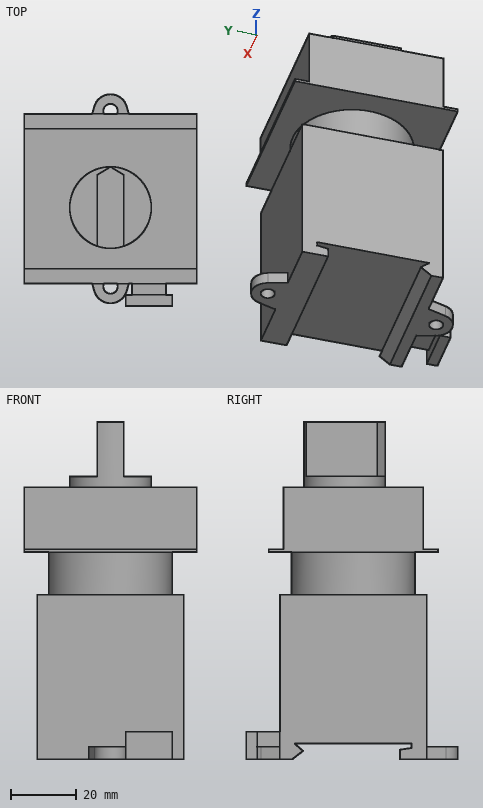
import cadquery as cq
import math


total_height = 103.5
housing_top = 50.5
collar_top = 63.5
bezel_top = 83.5
knob_disc_top = 86.8

housing_side = 45.0
collar_diameter = 38.0

channel_depth = 4.9
fixed_wall_y = 17.8
fixed_hook_tip_y = 14.3
fixed_hook_root_z = 3.5
fixed_hook_tip_z = 3.0
latch_wall_y = -18.0
latch_tip_y = -15.4
latch_tip_z = 2.6
latch_base_y = -18.7

tab_thickness = 3.9
tab_reach = 32.1
tab_radius = 5.2
tab_base_half_width = 6.7
tab_hole_diameter = 4.3

bezel_width = 53.0
bezel_depth = 43.0
flange_depth = 52.1
flange_thickness = 0.9

knob_offset_y = -2.7
knob_diameter = 25.0
grip_width = 8.2
grip_point_length = 2.5

slider_center_x = 11.8
slider_top = 8.5
stem_width = 10.5
pull_width = 14.4
pull_inner_y = -29.5
pull_outer_y = -32.9


def block(x_size, y_size, z_bottom, z_top, x_center=0.0, y_center=0.0):
    """Box centred at a point in plan, between two heights."""
    base = cq.Workplane("XY").workplane(offset=z_bottom).center(x_center, y_center)
    return base.rect(x_size, y_size).extrude(z_top - z_bottom)


def make_tab():
    """Tapered tab on the +Y face, with sides tangent to its round end."""
    root_y = housing_side / 2
    center_y = tab_reach - tab_radius
    root_drop = center_y - root_y
    root_angle = -math.atan2(root_drop, tab_base_half_width)
    root_distance = math.hypot(root_drop, tab_base_half_width)
    tangent_angle = root_angle + math.acos(tab_radius / root_distance)
    tangent_x = tab_radius * math.cos(tangent_angle)
    tangent_y = center_y + tab_radius * math.sin(tangent_angle)
    tab = (
        cq.Workplane("XY")
        .moveTo(-tab_base_half_width, root_y)
        .lineTo(tab_base_half_width, root_y)
        .lineTo(tangent_x, tangent_y)
        .threePointArc((0, tab_reach), (-tangent_x, tangent_y))
        .close()
        .extrude(tab_thickness)
    )
    hole = cq.Workplane("XY").center(0, center_y).circle(tab_hole_diameter / 2).extrude(tab_thickness)
    return tab.cut(hole)


def make_rail_channel():
    """Channel along X with a fixed hook on +Y and a pointed latch on -Y."""
    profile = [
        (fixed_hook_tip_y, 0),
        (fixed_hook_tip_y, fixed_hook_tip_z),
        (fixed_wall_y, fixed_hook_root_z),
        (fixed_wall_y, channel_depth),
        (latch_wall_y, channel_depth),
        (latch_tip_y, latch_tip_z),
        (latch_base_y, 0),
    ]
    return cq.Workplane("YZ").polyline(profile).close().extrude(housing_side / 2, both=True)


def make_housing():
    housing = block(housing_side, housing_side, 0, housing_top).cut(make_rail_channel())
    tab = make_tab()
    for angle in (0, 180):
        housing = housing.union(tab.rotate((0, 0, 0), (0, 0, 1), angle))
    return housing


def make_collar():
    base = cq.Workplane("XY").workplane(offset=housing_top)
    return base.circle(collar_diameter / 2).extrude(collar_top - housing_top)


def make_bezel():
    cover = block(bezel_width, bezel_depth, collar_top, bezel_top)
    flange = block(bezel_width, flange_depth, collar_top, collar_top + flange_thickness)
    return cover.union(flange)


def make_knob():
    """Disc with a grip that points to +Y and ends flush with the disc rim at -Y.

    The cylinder is cut away around the grip, so the rim runs unbroken up the grip's round end.
    """
    radius = knob_diameter / 2
    half_width = grip_width / 2
    shoulder_y = radius - grip_point_length
    base = cq.Workplane("XY").workplane(offset=bezel_top).center(0, knob_offset_y)
    cylinder = base.circle(radius).extrude(total_height - bezel_top)
    grip_outline = [
        (half_width, -knob_diameter),
        (half_width, shoulder_y),
        (0, radius),
        (-half_width, shoulder_y),
        (-half_width, -knob_diameter),
    ]
    grip_level = cq.Workplane("XY").workplane(offset=knob_disc_top).center(0, knob_offset_y)
    grip_height = total_height - knob_disc_top
    grip_prism = grip_level.polyline(grip_outline).close().extrude(grip_height)
    waste = grip_level.rect(2 * knob_diameter, 2 * knob_diameter).extrude(grip_height).cut(grip_prism)
    return cylinder.cut(waste)


def make_slider_stem():
    """Stem from the housing face to the pull, passing just above the screw tab."""
    housing_face_y = -housing_side / 2
    length = housing_face_y - pull_inner_y
    center_y = (housing_face_y + pull_inner_y) / 2
    return block(stem_width, length, tab_thickness, slider_top, slider_center_x, center_y)


def make_slider_pull():
    depth = pull_inner_y - pull_outer_y
    center_y = (pull_inner_y + pull_outer_y) / 2
    return block(pull_width, depth, 0, slider_top, slider_center_x, center_y)


housing = make_housing()
collar = make_collar()
bezel = make_bezel()
knob = make_knob()
slider_stem = make_slider_stem()
slider_pull = make_slider_pull()

result = cq.Compound.makeCompound([
    housing.val(),
    collar.val(),
    bezel.val(),
    knob.val(),
    slider_stem.val(),
    slider_pull.val(),
])